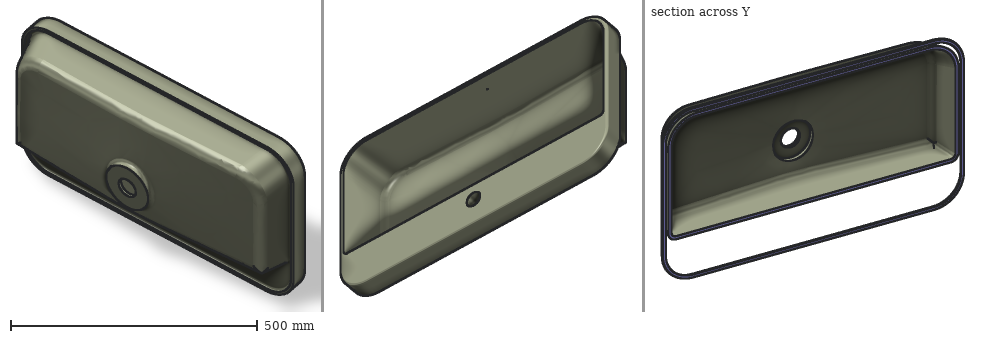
import cadquery as cq
import math


RIM_LENGTH = 700.0
RIM_WIDTH = 400.0
RIM_DEPTH = 41.0
RIM_CORNER_RADIUS = 70.0
RIM_TOP_FILLET = 5.0
RIM_LIP = 7.0
DECK_RECESS = 6.0
RECESS_FILLET = 5.5
DECK_DEPTH = RIM_DEPTH - DECK_RECESS

BOWL_HALF_LENGTH = RIM_LENGTH / 2 - 14.0
BOWL_TOP = RIM_WIDTH / 2 - 14.0
BOWL_BOTTOM = -98.0
SIDE_DRAFT = math.tan(math.radians(15.0))
BOTTOM_DRAFT = math.tan(math.radians(5.0))
BOWL_TOP_RADIUS = 67.0
BOWL_BOTTOM_RADIUS = 18.0
BOWL_FLOOR_FILLET = 25.0
BOWL_DECK_FILLET = 5.0
WALL = 8.0

FLOOR_EDGE_DEPTH = 108.5
FLOOR_DROP = 25.0
FLOOR_REACH_X = 318.0
FLOOR_REACH_Z = 200.0
FLOOR_ROUNDING = 30.0
FLOOR_GRID = 20
FLOOR_TOLERANCE = 0.5

TOTAL_DEPTH = 142.0
SLEEVE_DIAMETER = 108.0
SLEEVE_FILLET = 9.0
DRAIN_DIAMETER = 44.0
TAP_DIAMETER = 35.0
TAP_Z = -134.0

MATCH = 0.1


def plane_at(depth):
    """Workplane parallel to XZ at a depth below the top face, facing -Y."""
    return cq.Workplane("XZ", origin=(0, -depth, 0))


def rounded_rectangle(length, width, radius):
    return cq.Sketch().rect(length, width).vertices().fillet(radius)


def bowl_section(work, depth, inset, rounded_bottom):
    """Closed bowl outline at one depth: large corners at the top, small or sharp ones at the bottom."""
    below_rim = depth - RIM_DEPTH
    half = BOWL_HALF_LENGTH - below_rim * SIDE_DRAFT - inset
    top = BOWL_TOP - below_rim * SIDE_DRAFT - inset
    bottom = BOWL_BOTTOM + below_rim * BOTTOM_DRAFT + inset
    big = BOWL_TOP_RADIUS - inset
    small = BOWL_BOTTOM_RADIUS - inset if rounded_bottom else 0.0

    outline = work.moveTo(-half + small, bottom).lineTo(half - small, bottom)
    if rounded_bottom:
        outline = outline.radiusArc((half, bottom + small), -small)
    outline = (
        outline.lineTo(half, top - big)
        .radiusArc((half - big, top), -big)
        .lineTo(-half + big, top)
        .radiusArc((-half, top - big), -big)
    )
    if rounded_bottom:
        outline = outline.lineTo(-half, bottom + small).radiusArc((-half + small, bottom), -small)
    return outline.close()


def bowl_walls(start_depth, inset, rounded_bottom):
    """Drafted block between a start depth and the full depth of the basin."""
    start = bowl_section(plane_at(start_depth), start_depth, inset, rounded_bottom)
    end_plane = start.workplane(offset=TOTAL_DEPTH - start_depth)
    return bowl_section(end_plane, TOTAL_DEPTH, inset, rounded_bottom).loft(ruled=True)


def softened(distance):
    """Absolute distance with its kink at zero rounded off."""
    return math.hypot(distance, FLOOR_ROUNDING) - FLOOR_ROUNDING


def floor_depth(x, z):
    """Depth of the outer floor surface, deepest on the drain axis."""
    fade_x = 1 - softened(x) / softened(FLOOR_REACH_X)
    fade_z = 1 - softened(z) / softened(FLOOR_REACH_Z)
    return FLOOR_EDGE_DEPTH + FLOOR_DROP * fade_x * fade_z


def space_above_floor(inset):
    """Solid bounded below by the sloping floor, reaching beyond the bowl walls."""
    steps = [2 * index / FLOOR_GRID - 1 for index in range(FLOOR_GRID + 1)]
    xs = [step * RIM_LENGTH / 2 for step in steps]
    zs = [step * RIM_WIDTH / 2 for step in steps]
    points = [[cq.Vector(x, inset - floor_depth(x, z), z) for z in zs] for x in xs]
    floor = cq.Face.makeSplineApprox(points, tol=FLOOR_TOLERANCE)
    return cq.Workplane(cq.Solid.extrudeLinear(floor, cq.Vector(0, TOTAL_DEPTH, 0)))


def bowl_body(start_depth, inset):
    """Drafted bowl with a sloping floor; an inset gives the matching inner shape."""
    body = bowl_walls(start_depth, inset, rounded_bottom=False).intersect(space_above_floor(inset))
    floor = min(body.faces().vals(), key=lambda face: face.Center().y)
    filleted = cq.Workplane(body.val().fillet(BOWL_FLOOR_FILLET - inset, floor.Edges()))
    return filleted.intersect(bowl_walls(start_depth, inset, rounded_bottom=True))


def rim():
    """Rounded slab with a softened top edge and a round-bottomed recess in its underside."""
    slab = plane_at(0).placeSketch(rounded_rectangle(RIM_LENGTH, RIM_WIDTH, RIM_CORNER_RADIUS))
    slab = slab.extrude(RIM_DEPTH).faces(">Y").edges().fillet(RIM_TOP_FILLET)
    mouth = rounded_rectangle(
        RIM_LENGTH - 2 * RIM_LIP, RIM_WIDTH - 2 * RIM_LIP, RIM_CORNER_RADIUS - RIM_LIP
    )
    recess = plane_at(RIM_DEPTH).placeSketch(mouth).extrude(-DECK_RECESS)
    recess = recess.faces(">Y").edges().fillet(RECESS_FILLET)
    return slab.cut(recess)


def cylinder(diameter, start_depth, end_depth, z=0.0):
    return plane_at(start_depth).center(0, z).circle(diameter / 2).extrude(end_depth - start_depth)


def bowl_on_deck():
    """Bowl and drain sleeve standing on the deck, with the sleeve and deck junctions filleted."""
    bowl = bowl_body(DECK_DEPTH / 2, inset=0.0).union(cylinder(SLEEVE_DIAMETER, DECK_DEPTH, TOTAL_DEPTH))
    sleeve_root = bowl.faces("%CYLINDER").edges("(not <Y) and (not %LINE)")
    bowl = sleeve_root.fillet(SLEEVE_FILLET)

    plate_outline = rounded_rectangle(
        RIM_LENGTH - RIM_LIP, RIM_WIDTH - RIM_LIP, RIM_CORNER_RADIUS - RIM_LIP / 2
    )
    plate = plane_at(DECK_DEPTH / 2).placeSketch(plate_outline).extrude(DECK_DEPTH / 2)
    joined = plate.union(bowl)
    flat_faces = joined.faces("%PLANE").vals()
    deck = next(face for face in flat_faces if abs(face.Center().y + DECK_DEPTH) < MATCH)
    bowl_root = deck.innerWires()[0].Edges()
    return cq.Workplane(joined.val().fillet(BOWL_DECK_FILLET, bowl_root))


def basin_cavity():
    """Open inside of the bowl with the drain recess reaching into the sleeve."""
    drain_recess = cylinder(SLEEVE_DIAMETER - 2 * WALL, RIM_DEPTH, TOTAL_DEPTH - WALL)
    return bowl_body(0.0, inset=WALL).union(drain_recess)


drain_hole = cylinder(DRAIN_DIAMETER, 0, TOTAL_DEPTH)
tap_hole = cylinder(TAP_DIAMETER, 0, RIM_DEPTH, TAP_Z)

result = rim().union(bowl_on_deck()).cut(basin_cavity()).cut(drain_hole).cut(tap_hole)